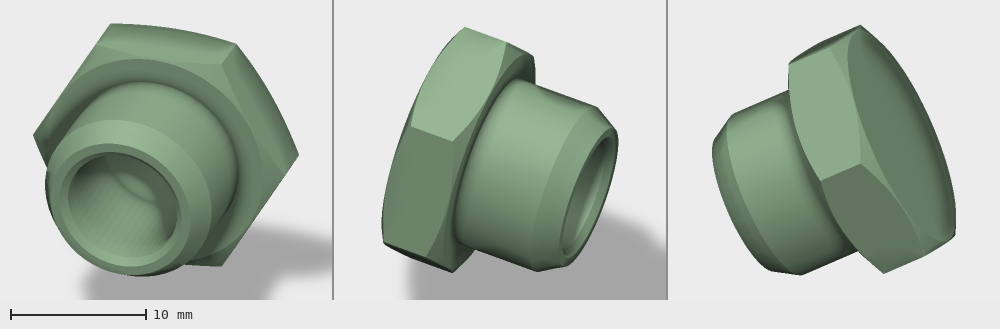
import cadquery as cq
import math

corner_width = 19.63
head_thickness = 5.0
head_face_diameter = 16.8
head_chamfer_angle = 30.0

overall_length = 13.0
shank_diameter = 13.0
nose_length = 1.8
nose_half_angle = 30.0

bore_diameter = 8.5
bore_depth = 9.0
drill_point_angle = 118.0
mouth_diameter = 9.5
mouth_half_angle = 45.0


def tangent(degrees):
    return math.tan(math.radians(degrees))


def revolve_about_y(points):
    """Turn a closed (radius, y) outline about the Y axis."""
    return cq.Workplane("XY").polyline(points).close().revolve(360, (0, 0, 0), (0, 1, 0))


head_front = overall_length - head_thickness


def make_head():
    hexagon = (
        cq.Workplane("XZ", origin=(0, overall_length, 0))
        .polygon(6, corner_width)
        .extrude(head_thickness)
    )
    face_radius = head_face_diameter / 2
    corner_radius = corner_width / 2
    corner_drop = (corner_radius - face_radius) * tangent(head_chamfer_angle)
    envelope = revolve_about_y([
        (0, head_front),
        (face_radius, head_front),
        (corner_radius, head_front + corner_drop),
        (corner_radius, overall_length - corner_drop),
        (face_radius, overall_length),
        (0, overall_length),
    ])
    return hexagon.intersect(envelope)


def make_shank():
    shank_radius = shank_diameter / 2
    nose_radius = shank_radius - nose_length * tangent(nose_half_angle)
    shank_end = head_front + head_thickness / 2
    return revolve_about_y([
        (0, 0),
        (nose_radius, 0),
        (shank_radius, nose_length),
        (shank_radius, shank_end),
        (0, shank_end),
    ])


def make_bore():
    bore_radius = bore_diameter / 2
    mouth_radius = mouth_diameter / 2
    mouth_depth = (mouth_radius - bore_radius) / tangent(mouth_half_angle)
    point_length = bore_radius / tangent(drill_point_angle / 2)
    return revolve_about_y([
        (0, 0),
        (mouth_radius, 0),
        (bore_radius, mouth_depth),
        (bore_radius, bore_depth),
        (0, bore_depth + point_length),
    ])


result = make_head().union(make_shank()).cut(make_bore())